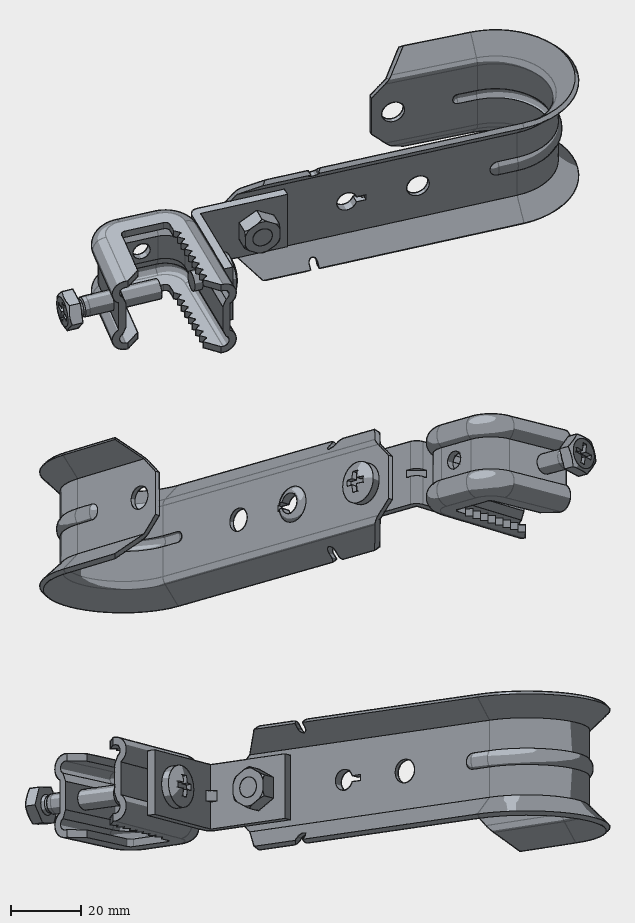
import cadquery as cq
import math


HOOK_INNER_RADIUS = 16.35
HOOK_THICKNESS = 1.5
HOOK_HALF_WIDTH = 17.99
HOOK_WEB_HALF_WIDTH = 11.15
FLARE_BEND_RADIUS = 3.0
LONG_LEG = 89.4
SHORT_LEG = 31.7
SHORT_LEG_TILT = 1.6
LEG_TIP_HALF_WIDTH = 6.4
HOOK_OUTER_RADIUS = HOOK_INNER_RADIUS + HOOK_THICKNESS

BEAD_OUTER_RADIUS = 3.3
BEAD_INNER_RADIUS = BEAD_OUTER_RADIUS - HOOK_THICKNESS
BEAD_HEIGHT = 1.0
BEAD_CENTRE_RADIUS = HOOK_OUTER_RADIUS + BEAD_HEIGHT - BEAD_OUTER_RADIUS
BEAD_RUN = 5.8
BEAD_RIDGE = (BEAD_OUTER_RADIUS, HOOK_INNER_RADIUS + HOOK_THICKNESS / 2)
BEAD_GROOVE = (BEAD_INNER_RADIUS, BEAD_CENTRE_RADIUS)

LEG_HOLE_DIAMETER = 6.8
SHORT_LEG_HOLE = 25.2
LONG_LEG_HOLE = 29.9
DIMPLE_PLACE = 51.4
DIMPLE_BASE_RADIUS = 5.25
DIMPLE_ROUND_RADIUS = 2.4
DIMPLE_HEIGHT = 1.4
DIMPLE_HOLE_DIAMETER = 6.0
DIMPLE_SLOT_WIDTH = 1.7
DIMPLE_SLOT_LENGTH = 5.8
NOTCH_PLACE = 63.1
NOTCH_WIDTH = 2.6
NOTCH_DEPTH = 3.5
NOTCH_LIP_RADIUS = 1.1

SCREW_SHANK_DIAMETER = 5.9
SCREW_HEAD_DIAMETER = 12.1
SCREW_RIM_HEIGHT = 2.4
SCREW_HEAD_HEIGHT = 4.0
RECESS_LENGTH = 6.2
RECESS_WIDTH = 1.8
RECESS_DEPTH = 2.0
HOOK_SCREW_PLACE = 79.6
CLAMP_SCREW_X = 37.8

NUT_ACROSS_FLATS = 10.5
NUT_HEIGHT = 5.0
NUT_CHAMFER = (0.6, 0.6)

BRACKET_THICKNESS = 2.6
BRACKET_HALF_WIDTH = 9.35
BRACKET_X = HOOK_OUTER_RADIUS
BRACKET_END_X = 47.15
BRACKET_BOTTOM_Y = -99.1
BRACKET_TOP_Y = BRACKET_HALF_WIDTH - HOOK_SCREW_PLACE
BRACKET_BEND_RADIUS = 2.5
DART_GROOVE_LEG = 4.0
DART_GROOVE_WIDTH = 2.1
DART_RIB_LEG = 2.2
DART_RIB_WIDTH = 3.0

CLAMP_X = 15.75
CLAMP_Y = BRACKET_BOTTOM_Y
CLAMP_HALF_WIDTH = 12.15
CLAMP_DEPTH = 8.6
CLAMP_SHEET = 2.2
CLAMP_BEAD_RADIUS = 4.0
CLAMP_WEB_DEPTH = 1.9
CLAMP_WEB_HALF_WIDTH = 4.1
CLAMP_BEAD_FOOT = 6.6
CLAMP_BEND_RADIUS = 10.0
CLAMP_SPINE_LENGTH = 11.7
UPPER_JAW_END_X = 57.28
UPPER_JAW_BEVEL = 4.0
LOWER_JAW_TILT = 4.8
LOWER_JAW_LENGTH = 21.3
LOWER_JAW_BEVEL = 4.0
TOOTH_PITCH = 3.05
TOOTH_DEPTH = 1.6
TOOTH_GAPS = 8
SPINE_HOLE_DIAMETER = 5.2
SPINE_HOLE_Y = -114.1

BOLT_TIP_X = 37.95
BOLT_TIP_Y = -115.7
BOLT_TILT = 1.6
BOLT_DIAMETER = 6.0
BOLT_NECK_DIAMETER = 4.9
BOLT_RUNOUT_START = 21.9
BOLT_SHANK_END = 23.2
BOLT_NECK_START = 23.6
BOLT_NECK_END = 24.3
BOLT_HEAD_START = 25.2
BOLT_LENGTH = 29.23
BOLT_HEAD_CORNER_DIAMETER = 11.8
BOLT_HEAD_CHAMFER = (0.7, 1.5)
BOLT_RECESS_WIDTH = 1.4
BOLT_HEAD_TURN = -9.0
BOLT_RUNOUT_DIAMETER = 5.8

OVERSHOOT = 1.0


def cylinder_x(diameter, x_start, x_end, y, z=0):
    """A cylinder along X."""
    return (
        cq.Workplane("YZ", origin=(x_start, 0, 0))
        .center(y, z)
        .circle(diameter / 2)
        .extrude(x_end - x_start)
    )


def box_between(x_range, y_range, z_range):
    """A box filling the given ranges."""
    size = [high - low for low, high in (x_range, y_range, z_range)]
    corner = cq.Vector(x_range[0], y_range[0], z_range[0])
    return cq.Workplane(cq.Solid.makeBox(*size, corner))


def hook_section():
    """Cross-section of the strip, in radius and Z: a flat web with 45 degree flared edges."""
    miter = HOOK_THICKNESS * math.tan(math.radians(22.5))
    edge_step = HOOK_THICKNESS * math.sin(math.radians(45))
    inner_corner = HOOK_WEB_HALF_WIDTH + miter
    tangent = FLARE_BEND_RADIUS * math.tan(math.radians(22.5))
    tangent_step = tangent * math.sin(math.radians(45))
    tip_radius = HOOK_INNER_RADIUS + HOOK_HALF_WIDTH - inner_corner
    return (
        cq.Workplane("XZ")
        .moveTo(HOOK_OUTER_RADIUS, -HOOK_WEB_HALF_WIDTH)
        .lineTo(HOOK_OUTER_RADIUS, HOOK_WEB_HALF_WIDTH)
        .lineTo(tip_radius + edge_step, HOOK_HALF_WIDTH - edge_step)
        .lineTo(tip_radius, HOOK_HALF_WIDTH)
        .lineTo(HOOK_INNER_RADIUS + tangent_step, inner_corner + tangent_step)
        .tangentArcPoint((HOOK_INNER_RADIUS, inner_corner - tangent), relative=False)
        .lineTo(HOOK_INNER_RADIUS, tangent - inner_corner)
        .tangentArcPoint((HOOK_INNER_RADIUS + tangent_step, -inner_corner - tangent_step), relative=False)
        .lineTo(tip_radius, -HOOK_HALF_WIDTH)
        .lineTo(tip_radius + edge_step, edge_step - HOOK_HALF_WIDTH)
        .close()
    )


def leg_end_cut(length):
    """Two wedges that cut the end corners of a leg at 45 degrees."""
    reach = HOOK_HALF_WIDTH + OVERSHOOT - LEG_TIP_HALF_WIDTH
    wedge = (
        cq.Workplane("YZ")
        .moveTo(-length, LEG_TIP_HALF_WIDTH)
        .lineTo(reach - length, LEG_TIP_HALF_WIDTH + reach)
        .lineTo(-length - OVERSHOOT, LEG_TIP_HALF_WIDTH + reach)
        .lineTo(-length - OVERSHOOT, LEG_TIP_HALF_WIDTH)
        .close()
        .extrude(2 * HOOK_OUTER_RADIUS)
    )
    return wedge.union(wedge.mirror("XY"))


def bead_half_width(radius, base):
    """Half width of the bead where its round section meets the base."""
    return math.sqrt(radius**2 - (base - BEAD_CENTRE_RADIUS) ** 2)


def bead_section(radius, base):
    """Round-topped section of the bead, in radius and Z, standing on a flat base."""
    half_width = bead_half_width(radius, base)
    arc = cq.Workplane("XZ").moveTo(base, -half_width)
    return arc.threePointArc((BEAD_CENTRE_RADIUS + radius, 0), (base, half_width)).close()


def bead_run(radius, base):
    """Straight stretch of the bead on a leg, with a round end."""
    end = (
        cq.Workplane("XZ", origin=(0, -BEAD_RUN, 0))
        .moveTo(base, 0)
        .lineTo(BEAD_CENTRE_RADIUS + radius, 0)
        .radiusArc((base, bead_half_width(radius, base)), -radius)
        .close()
        .revolve(360, (0, 0, 0), (1, 0, 0))
    )
    return bead_section(radius, base).extrude(BEAD_RUN).union(end)


def hook_leg(length, hole_place):
    """A leg on the +X side, running from the bend toward -Y."""
    leg = hook_section().extrude(length).cut(leg_end_cut(length))
    leg = leg.union(bead_run(*BEAD_RIDGE)).cut(bead_run(*BEAD_GROOVE))
    return leg.cut(cylinder_x(LEG_HOLE_DIAMETER, 0, 2 * HOOK_OUTER_RADIUS, -hole_place))


def hook_bend():
    """The bend between the legs, with its bead."""

    def turned(section):
        return section.revolve(180 - SHORT_LEG_TILT, (0, 0, 0), (0, 1, 0))

    bend = turned(hook_section()).union(turned(bead_section(*BEAD_RIDGE)))
    return bend.cut(turned(bead_section(*BEAD_GROOVE)))


def edge_notch():
    """Round-bottomed notch with rounded lips, cut along X into the upper edge of the long leg."""
    half = NOTCH_WIDTH / 2
    bottom = HOOK_HALF_WIDTH - NOTCH_DEPTH
    lip = NOTCH_LIP_RADIUS
    return (
        cq.Workplane("YZ")
        .center(-NOTCH_PLACE, 0)
        .moveTo(-half - lip, HOOK_HALF_WIDTH)
        .radiusArc((-half, HOOK_HALF_WIDTH - lip), lip)
        .lineTo(-half, bottom + half)
        .threePointArc((0, bottom), (half, bottom + half))
        .lineTo(half, HOOK_HALF_WIDTH - lip)
        .radiusArc((half + lip, HOOK_HALF_WIDTH), lip)
        .close()
        .extrude(2 * HOOK_OUTER_RADIUS)
    )


def dimple():
    """Raised boss on the inner face of the long leg, rounding down from the rim of its hole."""
    hole_radius = DIMPLE_HOLE_DIAMETER / 2
    boss = (
        cq.Workplane("XY")
        .lineTo(DIMPLE_BASE_RADIUS, 0)
        .radiusArc((hole_radius, DIMPLE_HEIGHT), -DIMPLE_ROUND_RADIUS)
        .lineTo(0, DIMPLE_HEIGHT)
        .close()
        .revolve(360, (0, 0, 0), (0, 1, 0))
    )
    boss = boss.rotate((0, 0, 0), (0, 0, 1), 90)
    return boss.translate((HOOK_INNER_RADIUS, -DIMPLE_PLACE, 0))


def make_hook():
    long_leg = hook_leg(LONG_LEG, LONG_LEG_HOLE)
    short_leg = hook_leg(SHORT_LEG, SHORT_LEG_HOLE).mirror("YZ")
    short_leg = short_leg.rotate((0, 0, 0), (0, 0, 1), -SHORT_LEG_TILT)
    notch = edge_notch()
    long_leg = long_leg.cut(notch).cut(notch.mirror("XY"))
    long_leg = long_leg.union(dimple())
    x_range = (0, HOOK_OUTER_RADIUS + OVERSHOOT)
    long_leg = long_leg.cut(cylinder_x(DIMPLE_HOLE_DIAMETER, *x_range, -DIMPLE_PLACE))
    slot_y = (-DIMPLE_PLACE, DIMPLE_SLOT_LENGTH - DIMPLE_PLACE)
    slot_z = (-DIMPLE_SLOT_WIDTH / 2, DIMPLE_SLOT_WIDTH / 2)
    long_leg = long_leg.cut(box_between(x_range, slot_y, slot_z))
    long_leg = long_leg.cut(cylinder_x(SCREW_SHANK_DIAMETER, *x_range, -HOOK_SCREW_PLACE))
    return hook_bend().union(long_leg, clean=False).union(short_leg, clean=False)


SCREW_LENGTH = HOOK_THICKNESS + BRACKET_THICKNESS + NUT_HEIGHT


def cross_recess(length, width, depth):
    """Cross-shaped driver recess sunk from Z = 0 downward."""
    arm = cq.Workplane("XY").rect(length, width).extrude(-depth)
    return arm.union(cq.Workplane("XY").rect(width, length).extrude(-depth))


def make_screw():
    """Pan-head screw along Z, with the head seat at Z = 0 and the shank below."""
    head_radius = SCREW_HEAD_DIAMETER / 2
    shank_radius = SCREW_SHANK_DIAMETER / 2
    dome_height = SCREW_HEAD_HEIGHT - SCREW_RIM_HEIGHT
    dome_radius = (head_radius**2 + dome_height**2) / (2 * dome_height)
    screw = (
        cq.Workplane("XZ")
        .moveTo(0, -SCREW_LENGTH)
        .lineTo(shank_radius, -SCREW_LENGTH)
        .lineTo(shank_radius, 0)
        .lineTo(head_radius, 0)
        .lineTo(head_radius, SCREW_RIM_HEIGHT)
        .radiusArc((0, SCREW_HEAD_HEIGHT), -dome_radius)
        .close()
        .revolve(360, (0, 0, 0), (0, 1, 0))
    )
    recess = cross_recess(RECESS_LENGTH, RECESS_WIDTH, RECESS_DEPTH)
    return screw.cut(recess.translate((0, 0, SCREW_HEAD_HEIGHT)))


def make_screws():
    """The screw through the hook, headed toward -X, and the clamp screw, headed toward +Y."""
    places = [
        ((0, 1, 0), -90, (HOOK_INNER_RADIUS, -HOOK_SCREW_PLACE, 0)),
        ((1, 0, 0), -90, (CLAMP_SCREW_X, BRACKET_BOTTOM_Y + BRACKET_THICKNESS, 0)),
    ]
    screws = cq.Workplane()
    for axis, turn, seat in places:
        screws = screws.add(make_screw().rotate((0, 0, 0), axis, turn).translate(seat))
    return screws


def chamfered_hexagon(corner_diameter, height, chamfer):
    """Hexagonal prism on Z = 0 with the corners of its upper end turned off."""
    prism = cq.Workplane("XY").polygon(6, corner_diameter).extrude(height)
    turned = cq.Workplane("XY").circle(corner_diameter / 2).extrude(height)
    return prism.intersect(turned.faces(">Z").chamfer(*chamfer))


def make_nut():
    """Nut on the hook screw, with two flats facing +Y and -Y."""
    corner_diameter = NUT_ACROSS_FLATS / math.cos(math.radians(30))
    nut = chamfered_hexagon(corner_diameter, NUT_HEIGHT, NUT_CHAMFER)
    nut = nut.cut(cq.Workplane("XY").circle(SCREW_SHANK_DIAMETER / 2).extrude(NUT_HEIGHT))
    nut = nut.rotate((0, 0, 0), (0, 1, 0), 90)
    return nut.translate((BRACKET_X + BRACKET_THICKNESS, -HOOK_SCREW_PLACE, 0))


def corner_triangle(x, y, leg, width):
    """Right-angled prism with its corner at (x, y) and its legs along +X and +Y."""
    corner = cq.Workplane("XY", origin=(x, y, 0))
    return corner.polyline([(0, 0), (leg, 0), (0, leg)]).close().extrude(width / 2, both=True)


def make_bracket():
    inner_x = BRACKET_X + BRACKET_THICKNESS
    inner_y = BRACKET_BOTTOM_Y + BRACKET_THICKNESS
    bracket = (
        cq.Workplane("XY")
        .moveTo(BRACKET_X, BRACKET_TOP_Y)
        .lineTo(BRACKET_X, BRACKET_BOTTOM_Y + BRACKET_BEND_RADIUS)
        .radiusArc((BRACKET_X + BRACKET_BEND_RADIUS, BRACKET_BOTTOM_Y), -BRACKET_BEND_RADIUS)
        .lineTo(BRACKET_END_X, BRACKET_BOTTOM_Y)
        .lineTo(BRACKET_END_X, inner_y)
        .lineTo(inner_x, inner_y)
        .lineTo(inner_x, BRACKET_TOP_Y)
        .close()
        .extrude(BRACKET_HALF_WIDTH, both=True)
    )
    bracket = bracket.union(corner_triangle(inner_x, inner_y, DART_RIB_LEG, DART_RIB_WIDTH))
    bracket = bracket.cut(corner_triangle(BRACKET_X, BRACKET_BOTTOM_Y, DART_GROOVE_LEG, DART_GROOVE_WIDTH))
    bracket = bracket.cut(cylinder_x(SCREW_SHANK_DIAMETER, BRACKET_X, inner_x, -HOOK_SCREW_PLACE))
    return bracket.cut(clamp_screw_hole())


def clamp_screw_hole():
    """Hole for the clamp screw through the bracket and the web of the clamp."""
    hole = cq.Workplane("XZ", origin=(CLAMP_SCREW_X, BRACKET_BOTTOM_Y + BRACKET_THICKNESS, 0))
    return hole.circle(SCREW_SHANK_DIAMETER / 2).extrude(SCREW_LENGTH)


def clamp_section(plane):
    """Channel section: local x is the depth from the outer face and local y is along Z."""
    bead_z = CLAMP_HALF_WIDTH - CLAMP_BEAD_RADIUS
    inner_radius = CLAMP_BEAD_RADIUS - CLAMP_SHEET
    outer_foot = bead_z - math.sqrt(CLAMP_BEAD_RADIUS**2 - (CLAMP_BEAD_RADIUS - CLAMP_WEB_DEPTH) ** 2)
    inner_foot = CLAMP_BEAD_RADIUS - math.sqrt(inner_radius**2 - (bead_z - CLAMP_BEAD_FOOT) ** 2)
    web_inside = CLAMP_WEB_DEPTH + CLAMP_SHEET
    return (
        cq.Workplane(plane)
        .moveTo(CLAMP_WEB_DEPTH, -outer_foot)
        .lineTo(CLAMP_WEB_DEPTH, outer_foot)
        .threePointArc((0, bead_z), (CLAMP_BEAD_RADIUS, CLAMP_HALF_WIDTH))
        .lineTo(CLAMP_DEPTH, CLAMP_HALF_WIDTH)
        .lineTo(CLAMP_DEPTH, CLAMP_HALF_WIDTH - CLAMP_SHEET)
        .lineTo(CLAMP_BEAD_RADIUS, CLAMP_HALF_WIDTH - CLAMP_SHEET)
        .threePointArc((CLAMP_SHEET, bead_z), (inner_foot, CLAMP_BEAD_FOOT))
        .lineTo(web_inside, CLAMP_WEB_HALF_WIDTH)
        .lineTo(web_inside, -CLAMP_WEB_HALF_WIDTH)
        .lineTo(inner_foot, -CLAMP_BEAD_FOOT)
        .threePointArc((CLAMP_SHEET, -bead_z), (CLAMP_BEAD_RADIUS, CLAMP_SHEET - CLAMP_HALF_WIDTH))
        .lineTo(CLAMP_DEPTH, CLAMP_SHEET - CLAMP_HALF_WIDTH)
        .lineTo(CLAMP_DEPTH, -CLAMP_HALF_WIDTH)
        .lineTo(CLAMP_BEAD_RADIUS, -CLAMP_HALF_WIDTH)
        .threePointArc((0, -bead_z), (CLAMP_WEB_DEPTH, -outer_foot))
        .close()
    )


def tooth_gaps():
    """V gaps between the teeth of the upper jaw, counted back from the tip of the last tooth."""
    edge_y = CLAMP_Y - CLAMP_DEPTH
    last_tip = UPPER_JAW_END_X - UPPER_JAW_BEVEL
    gap = [(-TOOTH_PITCH / 2, 0), (0, TOOTH_DEPTH), (TOOTH_PITCH / 2, 0)]
    gaps = cq.Workplane()
    for number in range(TOOTH_GAPS):
        middle = last_tip - (number + 0.5) * TOOTH_PITCH
        corner = cq.Workplane("XY", origin=(middle, edge_y, 0))
        gaps = gaps.add(corner.polyline(gap).close().extrude(CLAMP_HALF_WIDTH, both=True))
    return gaps


def jaw_bevel(x, y, size):
    """45 degree bevel that trims the inner corner of a jaw, whose end is at x and inner edge at y."""
    outline = [(OVERSHOOT, size + OVERSHOOT), (-size - OVERSHOOT, -OVERSHOOT), (OVERSHOOT, -OVERSHOOT)]
    corner = cq.Workplane("XY", origin=(x, y, 0))
    return corner.polyline(outline).close().extrude(CLAMP_HALF_WIDTH, both=True)


def make_clamp():
    bend_x = CLAMP_X + CLAMP_BEND_RADIUS
    upper_y = CLAMP_Y - CLAMP_BEND_RADIUS
    lower_y = upper_y - CLAMP_SPINE_LENGTH
    spine_plane = cq.Plane(origin=(CLAMP_X, lower_y, 0), xDir=(1, 0, 0), normal=(0, -1, 0))
    spine = clamp_section(spine_plane).extrude(-CLAMP_SPINE_LENGTH)

    def bend(y, turn):
        plane = cq.Plane(origin=(CLAMP_X, y, 0), xDir=(1, 0, 0), normal=(0, -1, 0))
        axis_end = -1 if turn < 0 else 1
        return clamp_section(plane).revolve(
            abs(turn), (CLAMP_BEND_RADIUS, 0, 0), (CLAMP_BEND_RADIUS, axis_end, 0)
        )

    upper_plane = cq.Plane(origin=(bend_x, CLAMP_Y, 0), xDir=(0, -1, 0), normal=(-1, 0, 0))
    upper_jaw = clamp_section(upper_plane).extrude(bend_x - UPPER_JAW_END_X)
    upper_jaw = upper_jaw.cut(tooth_gaps())
    upper_jaw = upper_jaw.cut(jaw_bevel(UPPER_JAW_END_X, CLAMP_Y - CLAMP_DEPTH, UPPER_JAW_BEVEL))
    upper_jaw = upper_jaw.cut(clamp_screw_hole())

    lower_bottom = lower_y - CLAMP_BEND_RADIUS
    lower_plane = cq.Plane(origin=(bend_x, lower_bottom, 0), xDir=(0, 1, 0), normal=(1, 0, 0))
    lower_jaw = clamp_section(lower_plane).extrude(LOWER_JAW_LENGTH)
    bevel = jaw_bevel(bend_x + LOWER_JAW_LENGTH, -lower_bottom - CLAMP_DEPTH, LOWER_JAW_BEVEL)
    lower_jaw = lower_jaw.cut(bevel.mirror("XZ"))
    lower_jaw = lower_jaw.rotate((bend_x, lower_y, 0), (bend_x, lower_y, 1), -LOWER_JAW_TILT)
    bolt_hole = cq.Workplane("XY").circle(BOLT_DIAMETER / 2).extrude(BOLT_LENGTH)
    lower_jaw = lower_jaw.cut(placed_on_bolt_axis(bolt_hole))

    clamp = spine.union(bend(upper_y, -90)).union(bend(lower_y, 90 - LOWER_JAW_TILT))
    clamp = clamp.union(upper_jaw).union(lower_jaw)
    return clamp.cut(cylinder_x(SPINE_HOLE_DIAMETER, CLAMP_X, bend_x, SPINE_HOLE_Y))


def placed_on_bolt_axis(shape):
    """Lays a shape built along +Z onto the bolt axis: Z = 0 goes to the bolt tip, +Z toward -Y."""
    shape = shape.rotate((0, 0, 0), (1, 0, 0), 90)
    shape = shape.rotate((0, 0, 0), (0, 0, 1), BOLT_TILT)
    return shape.translate((BOLT_TIP_X, BOLT_TIP_Y, 0))


def make_bolt():
    radius = BOLT_DIAMETER / 2
    neck_radius = BOLT_NECK_DIAMETER / 2
    runout_radius = BOLT_RUNOUT_DIAMETER / 2
    shank = (
        cq.Workplane("XZ")
        .moveTo(0, 0)
        .lineTo(radius, 0)
        .lineTo(radius, BOLT_RUNOUT_START)
        .lineTo(runout_radius, BOLT_SHANK_END)
        .lineTo(neck_radius, BOLT_NECK_START)
        .lineTo(neck_radius, BOLT_NECK_END)
        .lineTo(radius, BOLT_HEAD_START)
        .lineTo(0, BOLT_HEAD_START)
        .close()
        .revolve(360, (0, 0, 0), (0, 1, 0))
    )
    head = chamfered_hexagon(BOLT_HEAD_CORNER_DIAMETER, BOLT_LENGTH - BOLT_HEAD_START, BOLT_HEAD_CHAMFER)
    recess = cross_recess(RECESS_LENGTH, BOLT_RECESS_WIDTH, RECESS_DEPTH)
    head = head.translate((0, 0, BOLT_HEAD_START)).cut(recess.translate((0, 0, BOLT_LENGTH)))
    head = head.rotate((0, 0, 0), (0, 0, 1), BOLT_HEAD_TURN)
    return placed_on_bolt_axis(shank.union(head))


hook = make_hook()
screws = make_screws()
nut = make_nut()
bracket = make_bracket()
clamp = make_clamp()
bolt = make_bolt()

result = cq.Compound.makeCompound(
    [hook.val(), *screws.vals(), nut.val(), bracket.val(), clamp.val(), bolt.val()]
)